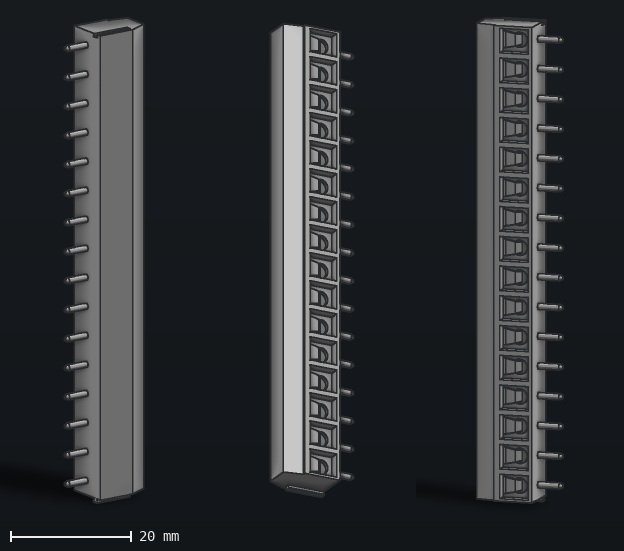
import cadquery as cq

total_height = 80.7
total_depth = 14.3

poles = 16
pitch = 4.998
width = 7.5
depth = 10.0
shoulder = 6.6
ledge = 0.5
crown_left = 1.1
crown_right = 5.8
height = poles * pitch

rail_x = 6.17
rail_root = 0.7
rail_wide = 1.2
rail_tip = 0.9
rail_wide_at = 0.6
rail_depth = total_height - height

groove_left = 5.8
groove_right = 6.8
groove_undercut = 0.25
groove_draft = 0.2
groove_depth = 0.6

window_bottom = 0.65
window_top = 5.6
window_height = 4.1
window_depth = 1.8

hole_y = 2.7
hole_radius = 1.3
hole_depth = 0.7

tongue_face = 1.3
tongue_slope_end = 5.0
tongue_round_start = 3.3
tongue_end = 2.5
tongue_round_radius = 1.45
tongue_top_width = 3.0
tongue_neck_width = 1.8

pin_x = 3.51
pin_radius = 0.525
pin_length = total_depth - depth
pin_tip = 0.6
pin_tip_radius = 0.25


def make_housing():
    outline = [
        (0, 0),
        (width, 0),
        (width, shoulder),
        (crown_right, depth),
        (crown_left, depth),
        (ledge, shoulder),
        (0, shoulder),
    ]
    return cq.Workplane("XY").polyline(outline).close().extrude(height)


def make_rail():
    """Dovetail bar hanging below Z = 0, running along Y from the pin face to the shoulder."""
    outline = [
        (rail_x - rail_root / 2, 0),
        (rail_x - rail_wide / 2, -rail_wide_at),
        (rail_x - rail_tip / 2, -rail_depth),
        (rail_x + rail_tip / 2, -rail_depth),
        (rail_x + rail_wide / 2, -rail_wide_at),
        (rail_x + rail_root / 2, 0),
    ]
    return cq.Workplane("XZ").polyline(outline).close().extrude(-shoulder)


def make_groove():
    """Groove in the top face for the next housing's rail, undercut on its -X side only."""
    outline = [
        (groove_left, height),
        (groove_left - groove_undercut, height - groove_depth),
        (groove_right - groove_draft, height - groove_depth),
        (groove_right, height),
    ]
    return cq.Workplane("XZ").polyline(outline).close().extrude(-shoulder)


def make_window(z):
    """Rectangular pocket with the round hole in its floor."""
    pocket = (
        cq.Workplane("XY", origin=(0, window_bottom, z))
        .box(window_depth, window_top - window_bottom, window_height, centered=(False, False, True))
    )
    hole = (
        cq.Workplane("YZ", origin=(0, hole_y, z))
        .circle(hole_radius)
        .extrude(window_depth + hole_depth)
    )
    return pocket.union(hole)


def make_tongue(z):
    """Clamp tongue: sloped at the top, rounded at the bottom, narrowing towards the hole."""
    root = window_depth + hole_depth
    profile = (
        cq.Workplane("XY", origin=(0, 0, z - window_height / 2))
        .moveTo(root, window_top)
        .lineTo(window_depth, window_top)
        .lineTo(tongue_face, tongue_slope_end)
        .lineTo(tongue_face, tongue_round_start)
        .radiusArc((root, tongue_end), -tongue_round_radius)
        .close()
        .extrude(window_height)
    )
    taper = (
        cq.Workplane("YZ", origin=(0, 0, z))
        .polyline([
            (window_top, -tongue_top_width / 2),
            (window_top, tongue_top_width / 2),
            (tongue_end, tongue_neck_width / 2),
            (tongue_end, -tongue_neck_width / 2),
        ])
        .close()
        .extrude(root)
    )
    return profile.intersect(taper)


def make_pin(z):
    """Round pin pointing to -Y with a conical tip."""
    outline = [
        (0, 0),
        (-pin_radius, 0),
        (-pin_radius, pin_tip - pin_length),
        (-pin_tip_radius, -pin_length),
        (0, -pin_length),
    ]
    pin = cq.Workplane("XY").polyline(outline).close().revolve(360, (0, 0, 0), (0, 1, 0))
    return pin.translate((pin_x, 0, z))


result = make_housing().cut(make_groove()).union(make_rail())

for pole in range(poles):
    pole_z = (pole + 0.5) * pitch
    result = result.cut(make_window(pole_z)).union(make_tongue(pole_z)).union(make_pin(pole_z))